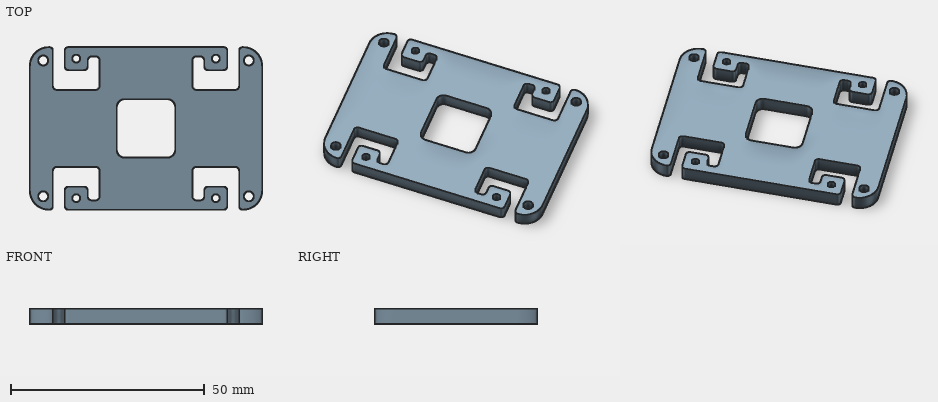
import cadquery as cq

length = 60.0
width = 42.0
thickness = 4.0
outer_radius = 5.0
slot_radius = 1.0
tip_radius = 0.95

window_side = 15.0
window_radius = 2.0

arm_width = 6.0
entry_width = 3.0
hook_width = 6.0
hook_depth = 6.0
notch_width = 3.0
notch_end_wall = 2.45
slot_depth = 11.05

arm_hole_diameter = 2.5
arm_hole_inset = 3.5
hook_hole_diameter = 2.0

tolerance = 0.005

half_length = length / 2
half_width = width / 2
arm_x = half_length - arm_width
hook_outer_x = arm_x - entry_width
hook_inner_x = hook_outer_x - hook_width
slot_inner_x = hook_inner_x - notch_width
arm_hole_x = half_length - arm_hole_inset
arm_hole_y = half_width - arm_hole_inset
hook_hole_x = (hook_outer_x + hook_inner_x) / 2
hook_hole_y = half_width - hook_depth / 2


def make_plate():
    """Flat plate with large rounded corners, centred on X and Y."""
    plate = cq.Workplane("XY").box(length, width, thickness, centered=(True, True, False))
    return plate.edges("|Z").fillet(outer_radius)


def make_window():
    """Rounded square opening through the middle."""
    window = cq.Workplane("XY").rect(window_side, window_side).extrude(thickness)
    return window.edges("|Z").fillet(window_radius)


def make_slot():
    """J-shaped slot at the +X +Y corner, entered from the long side."""
    floor_y = half_width - slot_depth
    hook_tip_y = half_width - hook_depth
    notch_end_y = half_width - notch_end_wall
    outline = [
        (arm_x, half_width),
        (arm_x, floor_y),
        (slot_inner_x, floor_y),
        (slot_inner_x, notch_end_y),
        (hook_inner_x, notch_end_y),
        (hook_inner_x, hook_tip_y),
        (hook_outer_x, hook_tip_y),
        (hook_outer_x, half_width),
    ]
    slot = cq.Workplane("XY").polyline(outline).close().extrude(thickness)
    return slot.edges("|Z").edges("not >Y").fillet(slot_radius)


def corner_holes(x, y, diameter):
    """Through holes mirrored into all four corners."""
    points = [(sx * x, sy * y) for sx in (-1, 1) for sy in (-1, 1)]
    return cq.Workplane("XY").pushPoints(points).circle(diameter / 2).extrude(thickness)


def round_slot_mouths(body):
    """Round the arm tips and hook corners where the slots open on the long sides."""
    mouth_corners = []
    for edge in body.edges("|Z").vals():
        center = edge.Center()
        on_long_side = abs(abs(center.y) - half_width) < tolerance
        at_mouth = min(abs(abs(center.x) - x) for x in (arm_x, hook_outer_x)) < tolerance
        if on_long_side and at_mouth:
            mouth_corners.append(edge)
    return body.newObject(mouth_corners).fillet(tip_radius)


result = make_plate().cut(make_window())
slot = make_slot()
for corner_slot in (slot, slot.mirror("YZ"), slot.mirror("XZ"), slot.mirror("YZ").mirror("XZ")):
    result = result.cut(corner_slot)
result = round_slot_mouths(result)
result = result.cut(corner_holes(arm_hole_x, arm_hole_y, arm_hole_diameter))
result = result.cut(corner_holes(hook_hole_x, hook_hole_y, hook_hole_diameter))